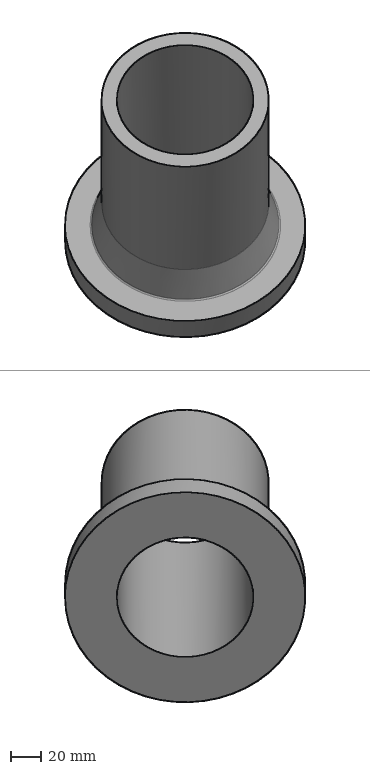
import cadquery as cq

flange_diameter = 158.0
flange_thickness = 17.9
total_height = 155.0
pipe_diameter = 110.0
bore_diameter = 89.7

neck_base_diameter = 123.5
neck_top_height = 42.5
neck_fillet_radius = 1.1

flange_radius = flange_diameter / 2
pipe_radius = pipe_diameter / 2
bore_radius = bore_diameter / 2
neck_base_radius = neck_base_diameter / 2

half_section = (
    cq.Workplane("XZ")
    .moveTo(bore_radius, 0)
    .lineTo(flange_radius, 0)
    .lineTo(flange_radius, flange_thickness)
    .lineTo(neck_base_radius, flange_thickness)
    .lineTo(pipe_radius, neck_top_height)
    .lineTo(pipe_radius, total_height)
    .lineTo(bore_radius, total_height)
    .close()
)

body = half_section.revolve(360, (0, 0, 0), (0, 1, 0))

neck_foot_rank = 2
neck_foot = cq.selectors.RadiusNthSelector(neck_foot_rank)
result = body.edges(neck_foot).fillet(neck_fillet_radius)